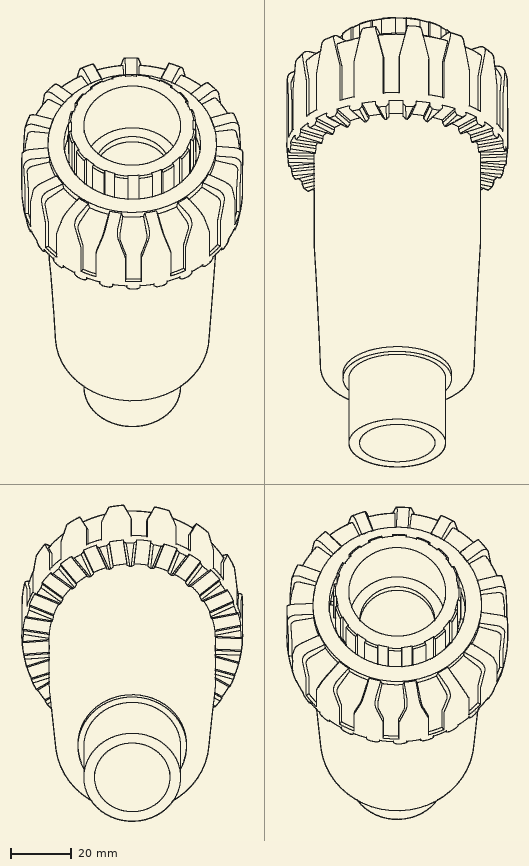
import cadquery as cq

total_height = 150.5
through_bore_diameter = 25.0

pipe_diameter = 32.0
collar_diameter = 36.0
barrel_diameter = 55.1
taper_bottom_diameter = 50.7
collar_bottom = 24.7
barrel_bottom = 26.5
taper_top = 75.5
barrel_top = 123.4
barrel_edge_fillet = 2.7

nut_diameter = 73.1
nut_foot_diameter = 72.2
nut_bottom = 107.8
grip_bottom = 112.7
lip_bottom = 132.5
nut_top = 140.3
nut_mouth_diameter = 45.2
lip_ring_diameter = 55.8

panel_radius = 35.5
panel_inner_top = 137.5
panel_outer_top = 136.5
panel_edge_fillet = 2.4

rib_count = 15
rib_first_angle = 18.0
rib_top = 139.5
rib_shoulder = 126.4
rib_wide = 10.0
rib_narrow = 3.9
rib_edge_fillet = 3.0

tooth_count = 25
notch_first_angle = 3.6
notch_top = 109.9
notch_top_width = 4.7
notch_mouth_width = 6.5
tooth_chamfer_height = 1.0

spline_count = 16
spline_diameter = 42.1
spline_root_diameter = 40.3
spline_groove_angle = 10.0
spline_chamfer = 0.6
socket_bottom = 126.4

lug_count = spline_count // 2
lug_outer_diameter = 44.5
lug_height = 3.0


def ring(outer_diameter, inner_diameter, bottom, top):
    """A plain tube about the Z axis."""
    return (
        cq.Workplane("XY", origin=(0, 0, bottom))
        .circle(outer_diameter / 2)
        .circle(inner_diameter / 2)
        .extrude(top - bottom)
    )


def make_housing():
    """Pipe stub, collar and tapered barrel, bored right through."""
    barrel = (
        cq.Workplane("XZ")
        .moveTo(0, barrel_bottom)
        .lineTo(taper_bottom_diameter / 2, barrel_bottom)
        .lineTo(barrel_diameter / 2, taper_top)
        .lineTo(barrel_diameter / 2, barrel_top)
        .lineTo(0, barrel_top)
        .close()
        .revolve(360, (0, 0), (0, 1))
        .faces("<Z")
        .edges()
        .fillet(barrel_edge_fillet)
    )
    pipe = cq.Workplane("XY").circle(pipe_diameter / 2).extrude(barrel_bottom)
    collar = (
        cq.Workplane("XY", origin=(0, 0, collar_bottom))
        .circle(collar_diameter / 2)
        .extrude(barrel_bottom - collar_bottom)
    )
    bore = cq.Workplane("XY").circle(through_bore_diameter / 2).extrude(barrel_top)
    return barrel.union(pipe).union(collar).cut(bore)


def nut_shell():
    """Nut without ribs: foot, recessed panel wall and raised ring round the mouth."""
    round_start = panel_radius - panel_edge_fillet
    return (
        cq.Workplane("XZ")
        .moveTo(barrel_diameter / 2, nut_bottom)
        .lineTo(nut_foot_diameter / 2, nut_bottom)
        .lineTo(nut_diameter / 2, grip_bottom)
        .lineTo(panel_radius, grip_bottom)
        .lineTo(panel_radius, panel_outer_top - panel_edge_fillet)
        .radiusArc((round_start, panel_outer_top), -panel_edge_fillet)
        .lineTo(lip_ring_diameter / 2, panel_inner_top)
        .lineTo(lip_ring_diameter / 2, nut_top)
        .lineTo(nut_mouth_diameter / 2, nut_top)
        .lineTo(nut_mouth_diameter / 2, lip_bottom)
        .lineTo(barrel_diameter / 2, lip_bottom)
        .close()
        .revolve(360, (0, 0), (0, 1))
    )


def rib_envelope():
    """Ring with a rounded top edge that bounds every grip rib."""
    return (
        ring(nut_diameter, barrel_diameter, grip_bottom, rib_top)
        .faces(">Z")
        .edges("%CIRCLE")
        .edges(cq.selectors.RadiusNthSelector(-1))
        .fillet(rib_edge_fillet)
    )


def rib_blank():
    """Bottle-shaped bar pointing along +X: wide below, narrowing to its top."""
    return (
        cq.Workplane("YZ")
        .moveTo(-rib_wide / 2, grip_bottom)
        .lineTo(rib_wide / 2, grip_bottom)
        .lineTo(rib_wide / 2, rib_shoulder)
        .lineTo(rib_narrow / 2, rib_top)
        .lineTo(-rib_narrow / 2, rib_top)
        .lineTo(-rib_wide / 2, rib_shoulder)
        .close()
        .extrude(nut_diameter)
    )


def notch_cutter():
    """Bar along +X that opens one gap between two teeth, flared where the teeth are chamfered."""
    chamfer_top = nut_bottom + tooth_chamfer_height
    return (
        cq.Workplane("YZ")
        .moveTo(-notch_mouth_width / 2, nut_bottom)
        .lineTo(notch_mouth_width / 2, nut_bottom)
        .lineTo(notch_top_width / 2, chamfer_top)
        .lineTo(notch_top_width / 2, notch_top)
        .lineTo(-notch_top_width / 2, notch_top)
        .lineTo(-notch_top_width / 2, chamfer_top)
        .close()
        .extrude(nut_diameter)
    )


def make_nut():
    """Union nut with grip ribs around it and teeth along its lower edge."""
    nut = nut_shell()
    rib = rib_blank().intersect(rib_envelope())
    for index in range(rib_count):
        angle = rib_first_angle + index * 360 / rib_count
        nut = nut.union(rib.rotate((0, 0, 0), (0, 0, 1), angle))
    notch = notch_cutter()
    for index in range(tooth_count):
        angle = notch_first_angle + index * 360 / tooth_count
        nut = nut.cut(notch.rotate((0, 0, 0), (0, 0, 1), angle))
    return nut


def ring_sector(outer_diameter, inner_diameter, angle, bottom, top):
    """Part of a tube that spans the given angle counter-clockwise from the +X axis."""
    return (
        cq.Workplane("XZ")
        .moveTo(inner_diameter / 2, bottom)
        .lineTo(outer_diameter / 2, bottom)
        .lineTo(outer_diameter / 2, top)
        .lineTo(inner_diameter / 2, top)
        .close()
        .revolve(angle, (0, 0), (0, 1))
    )


def make_union_end():
    """Splined socket whose flange is held between the nut lip and the housing."""
    end = (
        cq.Workplane("XY", origin=(0, 0, lip_bottom))
        .circle(spline_diameter / 2)
        .extrude(total_height - lip_bottom)
        .faces(">Z")
        .edges()
        .chamfer(spline_chamfer)
    )
    groove = ring_sector(nut_mouth_diameter, spline_root_diameter, spline_groove_angle, lip_bottom, total_height)
    for index in range(spline_count):
        end = end.cut(groove.rotate((0, 0, 0), (0, 0, 1), index * 360 / spline_count))
    flange = ring(barrel_diameter, through_bore_diameter, barrel_top, lip_bottom)
    end = end.union(flange)
    lug_top = lip_bottom + lug_height
    lug = ring_sector(lug_outer_diameter, spline_diameter, spline_groove_angle, lip_bottom, lug_top)
    for index in range(lug_count):
        end = end.union(lug.rotate((0, 0, 0), (0, 0, 1), index * 360 / lug_count))
    socket = cq.Workplane("XY", origin=(0, 0, socket_bottom)).circle(pipe_diameter / 2)
    return end.cut(socket.extrude(total_height - socket_bottom))


housing = make_housing()
nut = make_nut()
union_end = make_union_end()

result = cq.Compound.makeCompound([housing.val(), nut.val(), union_end.val()])